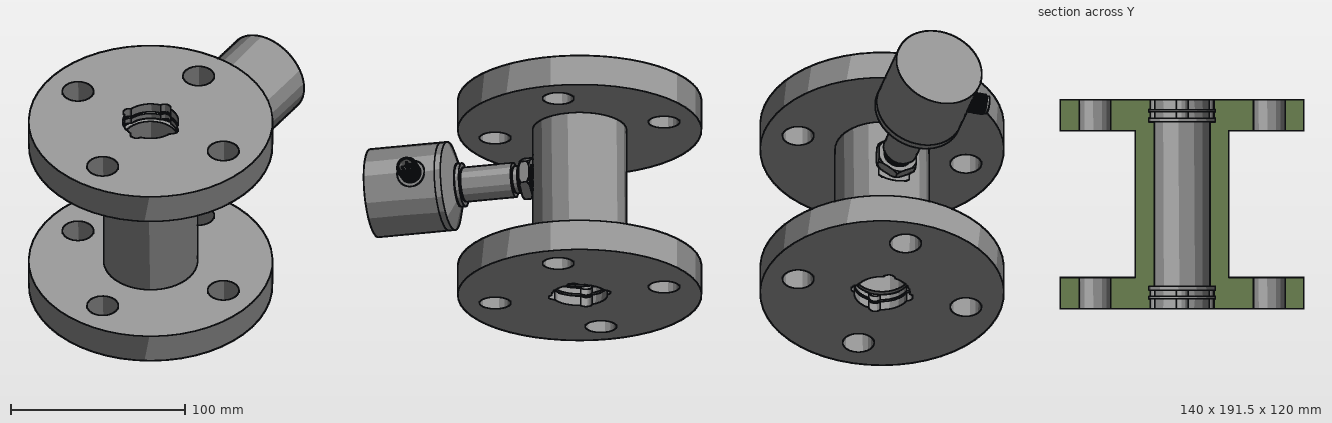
import cadquery as cq
import math


overall_length = 191.5

flange_diameter = 140.0
flange_thickness = 18.0
spool_length = 120.0
tube_diameter = 54.0
bore_diameter = 32.0
bolt_hole_diameter = 18.0
bolt_circle_diameter = 100.0
bolt_count = 4

notch_diameter = 7.0
notch_reach = 18.2
notch_count = 4
outer_land = 5.7
inner_land = 3.6
outer_groove_width = 1.3
inner_groove_width = 2.1
groove_diameter = 38.0

sensor_height = 15.0
thread_diameter = 15.7
thread_pitch = 1.0
thread_depth = 0.5
rod_diameter = 20.0
rod_tip = 18.0
relief_width = 0.48
relief_depth = 0.48
thread_end = 35.2
shoulder = 38.5
spot_face_diameter = 27.5
spot_face_level = 25.5

nut_across_flats = 22.0
nut_thickness = 6.0
nut_start = 27.4
nut_chamfer = 1.1

collar_diameter = 25.0
collar_start = 68.5
cone_start = 71.5
collar_end = cone_start - relief_width
cone_end = 76.0
housing_start = 79.7
housing_end = overall_length - flange_diameter / 2
housing_diameter = 51.0

connector_y = 93.6
connector_reach = 36.5
connector_nose = 1.7
connector_foot = 20.1
connector_thread_diameter = 11.7
connector_root_diameter = 11.0
connector_nose_diameter = 10.1
connector_bore_diameter = 8.5
connector_flat = 24.1
connector_flat_diameter = 16.0
insert_face = 28.7
pin_end = 35.0
pin_diameter = 1.0
pin_circle_diameter = 5.2
outer_pin_count = 4


def y_cylinder(diameter, start, end):
    """Cylinder on the sensor axis between two Y coordinates."""
    plane = cq.Plane(origin=(0, start, sensor_height), xDir=(1, 0, 0), normal=(0, 1, 0))
    return cq.Workplane(plane).circle(diameter / 2).extrude(end - start)


def connector_plane(distance):
    """Plane facing -X on the connector axis, at a distance from the sensor axis."""
    return cq.Plane(origin=(-distance, connector_y, sensor_height), xDir=(0, 1, 0), normal=(-1, 0, 0))


def connector_cylinder(diameter, start, end):
    """Cylinder on the connector axis between two distances from the sensor axis."""
    return cq.Workplane(connector_plane(start)).circle(diameter / 2).extrude(end - start)


def thread_points(diameter, depth, start, end):
    """(radius, distance) corners of a ridged thread profile between two places."""
    ridge_count = round((end - start) / thread_pitch)
    pitch = (end - start) / ridge_count
    points = [(diameter / 2 - depth, start)]
    for ridge in range(ridge_count):
        points.append((diameter / 2, start + (ridge + 0.5) * pitch))
        points.append((diameter / 2 - depth, start + (ridge + 1) * pitch))
    return points


def make_bore_mouth():
    """Notches and ring grooves cut down from the top end of the bore."""
    top = spool_length / 2
    outer_groove_bottom = top - outer_land - outer_groove_width
    inner_groove_bottom = outer_groove_bottom - inner_land - inner_groove_width
    cutter = (
        cq.Workplane("XY", origin=(0, 0, inner_groove_bottom))
        .polarArray(notch_reach - notch_diameter / 2, 0, 360, notch_count)
        .circle(notch_diameter / 2)
        .extrude(top - inner_groove_bottom)
    )
    grooves = ((outer_groove_bottom, outer_groove_width), (inner_groove_bottom, inner_groove_width))
    for bottom, width in grooves:
        groove = cq.Workplane("XY", origin=(0, 0, bottom)).circle(groove_diameter / 2).extrude(width)
        cutter = cutter.union(groove)
    return cutter


def make_spool():
    """Tube with a drilled flange on each end and a port for the sensor rod."""
    spool = cq.Workplane("XY").circle(tube_diameter / 2).extrude(spool_length / 2, both=True)
    for flange_bottom in (-spool_length / 2, spool_length / 2 - flange_thickness):
        flange = (
            cq.Workplane("XY", origin=(0, 0, flange_bottom))
            .circle(flange_diameter / 2)
            .polarArray(bolt_circle_diameter / 2, 0, 360, bolt_count)
            .circle(bolt_hole_diameter / 2)
            .extrude(flange_thickness)
        )
        spool = spool.union(flange)
    bore = cq.Workplane("XY").circle(bore_diameter / 2).extrude(spool_length / 2, both=True)
    mouth = make_bore_mouth()
    spool = spool.cut(bore).cut(mouth).cut(mouth.mirror("XY"))
    spot_face = y_cylinder(spot_face_diameter, spot_face_level, tube_diameter / 2)
    port = y_cylinder(thread_diameter, rod_tip, spot_face_level)
    return spool.cut(spot_face).cut(port)


def make_sensor_rod():
    """Rod with a threaded end, plain where it sits in the spool, and relieved at both shoulders."""
    ridges = thread_points(thread_diameter, thread_depth, spot_face_level, thread_end)
    outline = [
        (0, rod_tip),
        (thread_diameter / 2, rod_tip),
        (thread_diameter / 2, spot_face_level),
        *ridges,
        (thread_diameter / 2, thread_end),
        (thread_diameter / 2, shoulder - relief_width),
        (thread_diameter / 2 - relief_depth, shoulder - relief_width),
        (thread_diameter / 2 - relief_depth, shoulder),
        (rod_diameter / 2, shoulder),
        (rod_diameter / 2, collar_start - relief_width),
        (rod_diameter / 2 - relief_depth, collar_start - relief_width),
        (rod_diameter / 2 - relief_depth, cone_start),
        (0, cone_start),
    ]
    rod = cq.Workplane("XY").polyline(outline).close().revolve(360, (0, 0), (0, 1))
    return rod.translate((0, 0, sensor_height))


def make_nut():
    """Hexagon nut with two corners on Z and its corners chamfered on both faces."""
    corner_radius = nut_across_flats / math.sqrt(3)
    plane = cq.Plane(origin=(0, nut_start, sensor_height), xDir=(0, 0, 1), normal=(0, 1, 0))
    hexagon = cq.Workplane(plane).polygon(6, 2 * corner_radius).extrude(nut_thickness)
    envelope = cq.Workplane(plane).circle(corner_radius).extrude(nut_thickness).edges().chamfer(nut_chamfer)
    hole = y_cylinder(thread_diameter, nut_start, nut_start + nut_thickness)
    return hexagon.intersect(envelope).cut(hole)


def make_collar():
    """Ring on the relieved end of the rod, a small gap away from the cone cover."""
    collar = y_cylinder(collar_diameter, collar_start, collar_end)
    seat_diameter = rod_diameter - 2 * relief_depth
    return collar.cut(y_cylinder(seat_diameter, collar_start, collar_end))


def make_cone_cover():
    """Cone from the collar up to the full housing diameter, with a short rim."""
    outline = [
        (0, cone_start),
        (collar_diameter / 2, cone_start),
        (housing_diameter / 2, cone_end),
        (housing_diameter / 2, housing_start),
        (0, housing_start),
    ]
    cover = cq.Workplane("XY").polyline(outline).close().revolve(360, (0, 0), (0, 1))
    return cover.translate((0, 0, sensor_height))


def make_housing():
    """Cylindrical housing with a flat spot face and a hole for the connector."""
    housing = y_cylinder(housing_diameter, housing_start, housing_end)
    flat = connector_cylinder(connector_flat_diameter, connector_flat, housing_diameter / 2)
    hole = connector_cylinder(connector_root_diameter, connector_foot, connector_flat)
    return housing.cut(flat).cut(hole)


def make_connector_shell():
    """Threaded sleeve with a plain nose."""
    nose_start = connector_reach - connector_nose
    ridge_height = (connector_thread_diameter - connector_root_diameter) / 2
    ridges = thread_points(connector_thread_diameter, ridge_height, connector_flat, nose_start)
    outline = [
        (connector_bore_diameter / 2, connector_foot),
        (connector_root_diameter / 2, connector_foot),
        *ridges,
        (connector_nose_diameter / 2, nose_start),
        (connector_nose_diameter / 2, connector_reach),
        (connector_bore_diameter / 2, connector_reach),
    ]
    plane = cq.Plane(origin=(0, connector_y, sensor_height), xDir=(0, 1, 0), normal=(0, 0, 1))
    return cq.Workplane(plane).polyline(outline).close().revolve(360, (0, 0), (0, 1))


def make_connector_insert():
    """Contact carrier inside the sleeve, with a centre pin and a ring of pins."""
    carrier = connector_cylinder(connector_bore_diameter, connector_foot, insert_face)
    pins = (
        cq.Workplane(connector_plane(insert_face))
        .polarArray(pin_circle_diameter / 2, 0, 360, outer_pin_count)
        .circle(pin_diameter / 2)
        .extrude(pin_end - insert_face)
    )
    centre_pin = connector_cylinder(pin_diameter, insert_face, pin_end)
    return carrier.union(pins).union(centre_pin)


spool = make_spool()
sensor_rod = make_sensor_rod()
nut = make_nut()
collar = make_collar()
cone_cover = make_cone_cover()
housing = make_housing()
connector_shell = make_connector_shell()
connector_insert = make_connector_insert()

result = cq.Compound.makeCompound(
    [
        spool.val(),
        sensor_rod.val(),
        nut.val(),
        collar.val(),
        cone_cover.val(),
        housing.val(),
        connector_shell.val(),
        connector_insert.val(),
    ]
)